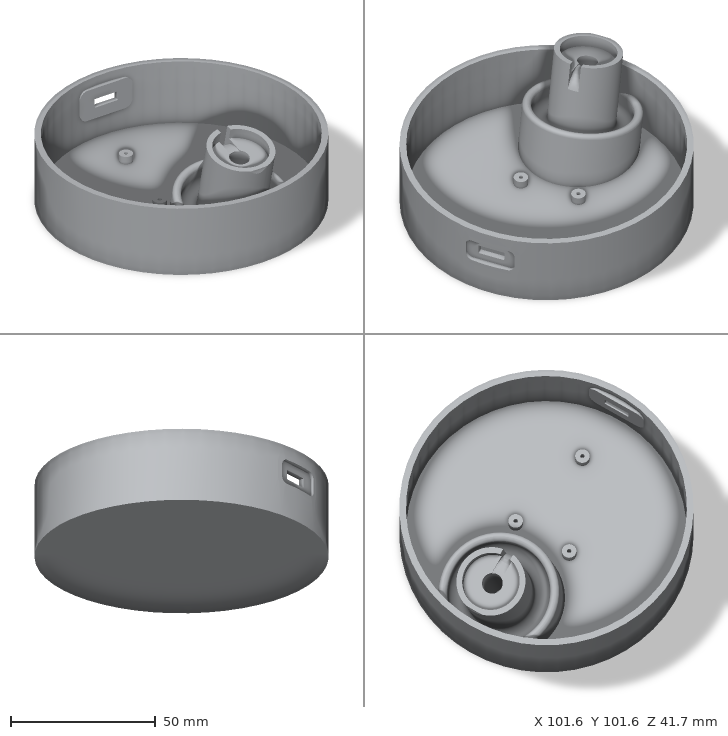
import cadquery as cq
import math

HOUSING_OUTER_D = 101.6
HOUSING_INNER_D = 97.0
HOUSING_HEIGHT = 26.6
FLOOR_THICKNESS = 2.0

POST_D = 5.0
POST_HOLE_D = 1.5
POST_HEIGHT = 3.0
POST_POSITIONS = [(2.75, 10.8), (2.75, -10.75), (-29.6, -3.3)]

BEZEL_WIDTH = 21.9
BEZEL_HEIGHT = 12.1
BEZEL_CORNER_R = 6.45 / 2
BEZEL_CENTER_Z = 16.9
BEZEL_BACK_X = -46.9
BEZEL_RECESS_WIDTH = 18.2
BEZEL_RECESS_HEIGHT = 9.0
BEZEL_RECESS_CORNER_R = 4.85 / 2
BEZEL_RECESS_FLOOR_X = -48.9
SOCKET_WIDTH = 9.6
SOCKET_HEIGHT = 3.5
SOCKET_CORNER_R = 0.4

TILT_ANGLE = 13.0
TUBE_RIM_CENTER_X = 37.2
TUBE_RIM_CENTER_Z = 39.07

TUBE_D = 24.0
TUBE_CUP_D = 20.0
TUBE_CUP_DEPTH = 4.2
TUBE_BORE_D = 7.2
SLOT_WIDTH = 4.0
SLOT_DEPTH = 10.0
SLOT_INNER_DEPTH = 4.6
SLOT_ROUND_R = 7.7
SLOT_CONE_OUTER_R = 9.8
SLOT_CONE_OUTER_DEPTH = 6.4
SLOT_CONE_INNER_R = 8.5
SLOT_CONE_INNER_DEPTH = 5.4

COLLAR_OUTER_D = 42.0
COLLAR_INNER_D = 35.73
COLLAR_LENGTH = 16.0
COLLAR_LIP_FILLET_R = 1.5
GROOVE_DEPTH = 8.3
GROOVE_FILLET_R = 2.9

TUBE_R = TUBE_D / 2
HOUSING_OUTER_R = HOUSING_OUTER_D / 2
TILT = math.radians(TILT_ANGLE)
TUBE_LENGTH = (TUBE_RIM_CENTER_Z - FLOOR_THICKNESS) / math.cos(TILT)
AXIS_FOOT_X = TUBE_RIM_CENTER_X - TUBE_LENGTH * math.sin(TILT)
INTERIOR_HEIGHT = TUBE_LENGTH + TUBE_R
FOOT_EXTRA = COLLAR_OUTER_D / 2 * math.tan(TILT) + 1.0

TILTED_PLANE = cq.Plane(
    origin=(AXIS_FOOT_X, 0, FLOOR_THICKNESS),
    xDir=(math.cos(TILT), 0, -math.sin(TILT)),
    normal=(math.sin(TILT), 0, math.cos(TILT)),
)
PROFILE_PLANE = cq.Plane(
    origin=TILTED_PLANE.origin.toTuple(),
    xDir=TILTED_PLANE.xDir.toTuple(),
    normal=(0, -1, 0),
)


def tray_interior():
    """Space inside the housing wall, from the floor upwards past the tube."""
    floor = cq.Workplane("XY").workplane(offset=FLOOR_THICKNESS)
    return floor.circle(HOUSING_INNER_D / 2).extrude(INTERIOR_HEIGHT)


def wall_block(width, height, corner_r, x_start, x_end):
    """Rounded rectangular block through the -X wall, between two X positions."""
    return (
        cq.Workplane("YZ", origin=(x_start, 0, BEZEL_CENTER_Z))
        .rect(width, height)
        .extrude(x_end - x_start)
        .edges("|X")
        .fillet(corner_r)
    )


def bezel_blank():
    return wall_block(BEZEL_WIDTH, BEZEL_HEIGHT, BEZEL_CORNER_R, -HOUSING_OUTER_R, BEZEL_BACK_X)


def make_housing():
    tray = cq.Workplane("XY").circle(HOUSING_OUTER_R).extrude(HOUSING_HEIGHT)
    return tray.cut(tray_interior()).cut(bezel_blank())


def make_post(x, y):
    return (
        cq.Workplane("XY", origin=(x, y, FLOOR_THICKNESS))
        .circle(POST_D / 2)
        .circle(POST_HOLE_D / 2)
        .extrude(POST_HEIGHT)
    )


def make_bezel():
    housing_cylinder = cq.Workplane("XY").circle(HOUSING_OUTER_R).extrude(HOUSING_HEIGHT)
    recess = wall_block(
        BEZEL_RECESS_WIDTH, BEZEL_RECESS_HEIGHT, BEZEL_RECESS_CORNER_R,
        -HOUSING_OUTER_R, BEZEL_RECESS_FLOOR_X,
    )
    socket_opening = (
        cq.Workplane("YZ", origin=(-HOUSING_OUTER_R, 0, BEZEL_CENTER_Z))
        .rect(SOCKET_WIDTH, SOCKET_HEIGHT)
        .extrude(BEZEL_BACK_X + HOUSING_OUTER_R)
        .edges("|X and <Z")
        .fillet(SOCKET_CORNER_R)
    )
    return bezel_blank().intersect(housing_cylinder).cut(recess).cut(socket_opening)


def axis_cylinder(diameter, start, end):
    """Cylinder on the tilted axis between two distances above the floor."""
    return cq.Workplane(TILTED_PLANE).workplane(offset=start).circle(diameter / 2).extrude(end - start)


def tube_slot():
    """Slot down the uphill side of the rim, with a floor that is domed about the axis."""
    slot_blank = (
        cq.Workplane(TILTED_PLANE)
        .workplane(offset=TUBE_LENGTH - SLOT_DEPTH)
        .center(-TUBE_R, 0)
        .rect(TUBE_D, SLOT_WIDTH)
        .extrude(SLOT_DEPTH)
    )
    bore_r = TUBE_BORE_D / 2
    dome = (
        cq.Workplane(PROFILE_PLANE)
        .moveTo(0, TUBE_LENGTH - SLOT_DEPTH)
        .lineTo(TUBE_R, TUBE_LENGTH - SLOT_DEPTH)
        .radiusArc((SLOT_CONE_OUTER_R, TUBE_LENGTH - SLOT_CONE_OUTER_DEPTH), -SLOT_ROUND_R)
        .lineTo(SLOT_CONE_INNER_R, TUBE_LENGTH - SLOT_CONE_INNER_DEPTH)
        .radiusArc((bore_r, TUBE_LENGTH - SLOT_INNER_DEPTH), -SLOT_ROUND_R)
        .lineTo(0, TUBE_LENGTH - SLOT_INNER_DEPTH)
        .close()
        .revolve(360, (0, 0, 0), (0, 1, 0))
    )
    return slot_blank.cut(dome)


def make_tube():
    tube = axis_cylinder(TUBE_D, -FOOT_EXTRA, TUBE_LENGTH)
    cup = axis_cylinder(TUBE_CUP_D, TUBE_LENGTH - TUBE_CUP_DEPTH, TUBE_LENGTH)
    bore = axis_cylinder(TUBE_BORE_D, -FOOT_EXTRA, TUBE_LENGTH)
    return tube.cut(cup).cut(bore).cut(tube_slot()).intersect(tray_interior())


def make_collar():
    """Ring revolved about the tilted axis: rounded lip outside, round-bottomed groove by the tube."""
    outer_r = COLLAR_OUTER_D / 2
    inner_r = COLLAR_INNER_D / 2
    lip_r = COLLAR_LIP_FILLET_R
    lip_start = COLLAR_LENGTH - lip_r
    lip_mid = lip_r * (1 - math.sqrt(0.5))
    groove_r = GROOVE_FILLET_R
    groove_bottom = COLLAR_LENGTH - GROOVE_DEPTH
    groove_start = groove_bottom + groove_r
    ring = (
        cq.Workplane(PROFILE_PLANE)
        .moveTo(TUBE_R, -FOOT_EXTRA)
        .lineTo(outer_r, -FOOT_EXTRA)
        .lineTo(outer_r, lip_start)
        .threePointArc((outer_r - lip_mid, COLLAR_LENGTH - lip_mid), (outer_r - lip_r, COLLAR_LENGTH))
        .lineTo(inner_r + lip_r, COLLAR_LENGTH)
        .threePointArc((inner_r + lip_mid, COLLAR_LENGTH - lip_mid), (inner_r, lip_start))
        .lineTo(inner_r, groove_start)
        .radiusArc((inner_r - groove_r, groove_bottom), groove_r)
        .lineTo(TUBE_R + groove_r, groove_bottom)
        .radiusArc((TUBE_R, groove_start), groove_r)
        .close()
        .revolve(360, (0, 0, 0), (0, 1, 0))
    )
    return ring.intersect(tray_interior())


housing = make_housing()
posts = [make_post(x, y) for x, y in POST_POSITIONS]
bezel = make_bezel()
tube = make_tube()
collar = make_collar()

result = cq.Compound.makeCompound(
    [housing.val(), *[post.val() for post in posts], bezel.val(), *tube.vals(), *collar.vals()]
)